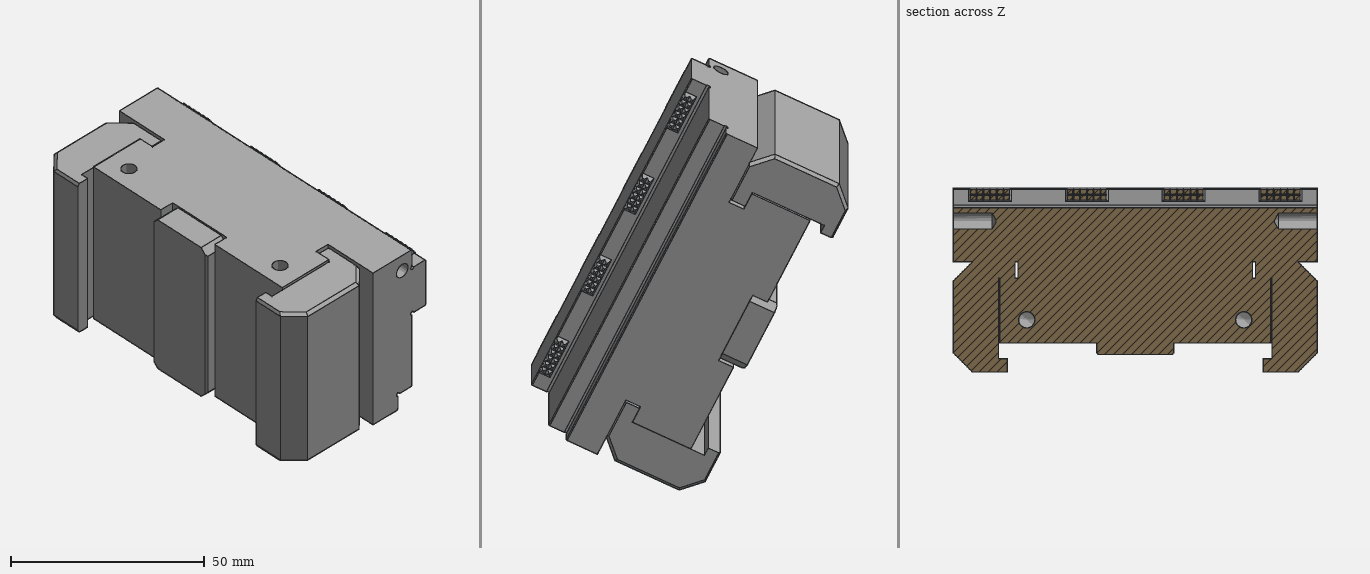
import cadquery as cq
import math

LENGTH = 94.0
HEIGHT = 50.0
TOP_Z = HEIGHT / 2
BOTTOM_Z = -TOP_Z
PLATE_REAR_Y = -5.0
PLATE_FRONT_Y = -19.0
CORE_FRONT_Y = -40.0
CORE_HALF_WIDTH = 35.0

NECK_HALF_WIDTH = 30.3
NECK_FRONT_Y = -23.25

RAIL_TOP_Z = TOP_Z - 6.0
RAIL_HEIGHT = 15.0
RAIL_BOTTOM_Z = RAIL_TOP_Z - RAIL_HEIGHT
REAR_CHAMFER = 0.3
STEP_DEPTH = 5.0
STEP_HEIGHT = 5.0
RELIEF_RADIUS = 0.55
RELIEF_SHIFT = 0.1

HOLE_DIAMETER = 4.13
HOLE_DEPTH = 10.0
DRILL_POINT_ANGLE = 118.0
TOP_HOLE_X = 28.0
TOP_HOLE_Y = -34.0
END_HOLE_Y = -8.5
END_HOLE_Z = TOP_Z - 5.0

JAW_HEIGHT = 49.0
JAW_FRONT_Y = -47.5
JAW_OUTER_X = LENGTH / 2
JAW_INNER_X = CORE_HALF_WIDTH + 0.25
REAR_LIP_X = 31.0
FRONT_LIP_X = 33.0
FRONT_LIP_THICKNESS = 3.5
JAW_CORNER = 5.0
JAW_BEVEL_DROP = 0.87
JAW_SIDE_BEVEL = 0.87
JAW_FACE_BEVEL = 0.5

PAD_WIDTH = 20.0
PAD_HEIGHT = 49.0
PAD_FRONT_Y = -43.0
PAD_CORNER = 2.0
PAD_EDGE_CHAMFER = 0.5
SLOT_REAR_Y = -35.75

INSERT_COUNT = 4
INSERT_PITCH = 25.0
INSERT_WIDTH = 11.1
INSERT_DEPTH = 3.5
INSERT_HEIGHT = 1.2
INSERT_OVERHANG = 0.04
TOOTH_COLUMNS = 6
TOOTH_ROWS = 2
TOOTH_PITCH = 1.75
TOOTH_TIP = 0.5
GROOVE_HALF_WIDTH = (TOOTH_PITCH - TOOTH_TIP) / 2


def box(x_range, y_range, z_range):
    """Axis-aligned box given by its two limits along each axis."""
    (x0, x1), (y0, y1), (z0, z1) = x_range, y_range, z_range
    return cq.Workplane("XY").box(x1 - x0, y1 - y0, z1 - z0, centered=False).translate((x0, y0, z0))


def make_body():
    """Plate with rear rail and lower step, carrying the core on a narrower neck."""
    half = LENGTH / 2
    step_y = PLATE_REAR_Y - STEP_DEPTH
    step_z = BOTTOM_Z + STEP_HEIGHT
    plate_profile = [
        (PLATE_FRONT_Y, BOTTOM_Z),
        (step_y - REAR_CHAMFER, BOTTOM_Z),
        (step_y, BOTTOM_Z + REAR_CHAMFER),
        (step_y, step_z),
        (PLATE_REAR_Y - REAR_CHAMFER, step_z),
        (PLATE_REAR_Y, step_z + REAR_CHAMFER),
        (PLATE_REAR_Y, RAIL_BOTTOM_Z),
        (-REAR_CHAMFER, RAIL_BOTTOM_Z),
        (0, RAIL_BOTTOM_Z + REAR_CHAMFER),
        (0, RAIL_TOP_Z - REAR_CHAMFER),
        (-REAR_CHAMFER, RAIL_TOP_Z),
        (PLATE_REAR_Y, RAIL_TOP_Z),
        (PLATE_REAR_Y, TOP_Z - REAR_CHAMFER),
        (PLATE_REAR_Y - REAR_CHAMFER, TOP_Z),
        (PLATE_FRONT_Y, TOP_Z),
    ]
    relief_centers = [
        (PLATE_REAR_Y + RELIEF_SHIFT, RAIL_TOP_Z),
        (PLATE_REAR_Y + RELIEF_SHIFT, RAIL_BOTTOM_Z),
        (step_y, step_z),
    ]
    plate = cq.Workplane("YZ").polyline(plate_profile).close().extrude(half, both=True)
    reliefs = cq.Workplane("YZ").pushPoints(relief_centers).circle(RELIEF_RADIUS).extrude(half, both=True)
    full_height = (BOTTOM_Z, TOP_Z)
    neck = box((-NECK_HALF_WIDTH, NECK_HALF_WIDTH), (NECK_FRONT_Y, PLATE_FRONT_Y), full_height)
    core = box((-CORE_HALF_WIDTH, CORE_HALF_WIDTH), (CORE_FRONT_Y, NECK_FRONT_Y), full_height)
    slot = box((-PAD_WIDTH / 2, PAD_WIDTH / 2), (CORE_FRONT_Y, SLOT_REAR_Y), full_height)
    return plate.cut(reliefs).union(neck).union(core).cut(slot)


def drill(mouth, direction):
    """Blind drilled hole with a conical bottom, entering the part along the given direction."""
    radius = HOLE_DIAMETER / 2
    point_length = radius / math.tan(math.radians(DRILL_POINT_ANGLE / 2))
    start = cq.Vector(*mouth)
    axis = cq.Vector(*direction)
    shaft = cq.Solid.makeCylinder(radius, HOLE_DEPTH, start, axis)
    point = cq.Solid.makeCone(radius, 0, point_length, start + axis * HOLE_DEPTH, axis)
    return cq.Workplane(obj=shaft).union(cq.Workplane(obj=point))


def cut_holes(body):
    """Two holes down from the top and one into each end."""
    for side in (-1, 1):
        body = body.cut(drill((side * TOP_HOLE_X, TOP_HOLE_Y, TOP_Z), (0, 0, -1)))
        body = body.cut(drill((side * LENGTH / 2, END_HOLE_Y, END_HOLE_Z), (-side, 0, 0)))
    return body


def bevel_cutter(start, end, inset):
    """Wedge that bevels the top edge of a jaw; the jaw lies to the left of start -> end."""
    edge = cq.Vector(end[0] - start[0], end[1] - start[1], 0)
    along = edge.normalized()
    outward = cq.Vector(along.y, -along.x, 0)
    plane = cq.Plane(origin=(*start, JAW_HEIGHT / 2), xDir=outward, normal=along)
    wedge = [(-inset, 0), (0, JAW_BEVEL_DROP), (inset, 0)]
    profile = cq.Workplane(plane).workplane(offset=-inset).polyline(wedge).close()
    return profile.extrude(edge.Length + 2 * inset)


def make_left_jaw():
    """C-shaped jaw with bevelled outer corners and bevelled top and bottom outer edges."""
    outer_edge = [
        (-REAR_LIP_X, PLATE_FRONT_Y),
        (-JAW_OUTER_X + JAW_CORNER, PLATE_FRONT_Y),
        (-JAW_OUTER_X, PLATE_FRONT_Y - JAW_CORNER),
        (-JAW_OUTER_X, JAW_FRONT_Y + JAW_CORNER),
        (-JAW_OUTER_X + JAW_CORNER, JAW_FRONT_Y),
        (-FRONT_LIP_X, JAW_FRONT_Y),
    ]
    inner_edge = [
        (-FRONT_LIP_X, JAW_FRONT_Y + FRONT_LIP_THICKNESS),
        (-JAW_INNER_X, JAW_FRONT_Y + FRONT_LIP_THICKNESS),
        (-JAW_INNER_X, NECK_FRONT_Y),
        (-REAR_LIP_X, NECK_FRONT_Y),
    ]
    jaw = cq.Workplane("XY").polyline(outer_edge + inner_edge).close().extrude(JAW_HEIGHT / 2, both=True)
    for start, end in zip(outer_edge, outer_edge[1:]):
        inset = JAW_FACE_BEVEL if start[1] == end[1] else JAW_SIDE_BEVEL
        cutter = bevel_cutter(start, end, inset)
        jaw = jaw.cut(cutter).cut(cutter.mirror("XY"))
    return jaw


def make_pad():
    """Upright pad with cut corners and chamfered long front edges."""
    half = PAD_WIDTH / 2
    plan = [
        (-half, SLOT_REAR_Y),
        (-half, PAD_FRONT_Y + PAD_EDGE_CHAMFER),
        (-half + PAD_EDGE_CHAMFER, PAD_FRONT_Y),
        (half - PAD_EDGE_CHAMFER, PAD_FRONT_Y),
        (half, PAD_FRONT_Y + PAD_EDGE_CHAMFER),
        (half, SLOT_REAR_Y),
    ]
    pad = cq.Workplane("XY").polyline(plan).close().extrude(PAD_HEIGHT / 2, both=True)
    outline = box((-half, half), (PAD_FRONT_Y, SLOT_REAR_Y), (-PAD_HEIGHT / 2, PAD_HEIGHT / 2))
    return pad.intersect(outline.edges("|Y").chamfer(PAD_CORNER))


def tooth_span(count):
    """Distance across the tips of a run of teeth."""
    return (count - 1) * TOOTH_PITCH + TOOTH_TIP


def groove_positions(count):
    """Centers of the grooves between a run of teeth, measured from the middle of the run."""
    return [(index - (count - 2) / 2) * TOOTH_PITCH for index in range(count - 1)]


def make_groove(plane):
    """Right-angled V groove through the insert, running along the normal of the given plane."""
    v_profile = [
        (-GROOVE_HALF_WIDTH, INSERT_HEIGHT),
        (0, INSERT_HEIGHT - GROOVE_HALF_WIDTH),
        (GROOVE_HALF_WIDTH, INSERT_HEIGHT),
    ]
    return cq.Workplane(plane).polyline(v_profile).close().extrude(INSERT_WIDTH, both=True)


def make_insert():
    """Grip insert standing on Z = 0: drafted block crossed by V grooves that leave blunt teeth."""
    insert = (
        cq.Workplane("XY")
        .rect(INSERT_WIDTH, INSERT_DEPTH)
        .workplane(offset=INSERT_HEIGHT)
        .rect(tooth_span(TOOTH_COLUMNS), tooth_span(TOOTH_ROWS))
        .loft()
    )
    for x in groove_positions(TOOTH_COLUMNS):
        insert = insert.cut(make_groove("XZ").translate((x, 0, 0)))
    for y in groove_positions(TOOTH_ROWS):
        insert = insert.cut(make_groove("YZ").translate((0, y, 0)))
    return insert


def add_inserts(body):
    """Row of inserts along the rail, on its upper and lower faces."""
    insert = make_insert()
    flipped = insert.mirror("XY")
    center_y = INSERT_OVERHANG - INSERT_DEPTH / 2
    for index in range(INSERT_COUNT):
        x = (index - (INSERT_COUNT - 1) / 2) * INSERT_PITCH
        body = body.union(insert.translate((x, center_y, RAIL_TOP_Z)))
        body = body.union(flipped.translate((x, center_y, RAIL_BOTTOM_Z)))
    return body


left_jaw = make_left_jaw()
body = add_inserts(cut_holes(make_body()))
result = body.union(left_jaw).union(left_jaw.mirror("YZ")).union(make_pad())